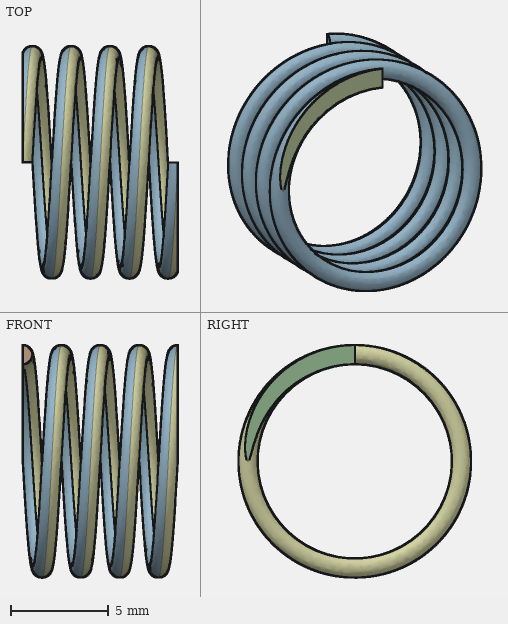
import cadquery as cq

wire_diameter = 1.0
outer_diameter = 12.0
pitch = 2.0
turns = 4

wire_radius = wire_diameter / 2
outer_radius = outer_diameter / 2
mean_radius = outer_radius - wire_radius
inner_radius = outer_radius - wire_diameter
free_length = pitch * turns
trim_margin = 1.0


def coil_path():
    """Left-hand helix about X, starting at the top (+Z) and turning toward +Y."""
    helix = cq.Wire.makeHelix(pitch, free_length, mean_radius, lefthand=True)
    coil_plane = cq.Plane(origin=(0, 0, 0), xDir=(0, 0, 1), normal=(1, 0, 0))
    return helix.moved(cq.Location(coil_plane))


def coil():
    """Round wire with end sections in the XZ plane, made of a left and a right half."""
    section = (
        cq.Workplane("XZ")
        .moveTo(0, outer_radius)
        .threePointArc((wire_radius, mean_radius), (0, inner_radius))
        .threePointArc((-wire_radius, mean_radius), (0, outer_radius))
        .close()
    )
    return section.sweep(cq.Workplane(coil_path()), isFrenet=True)


def ground_length():
    """Block that keeps only the wire between the two ground end planes."""
    side = outer_diameter + 2 * trim_margin
    return cq.Workplane("YZ").rect(side, side).extrude(free_length)


result = coil().intersect(ground_length()).solids()